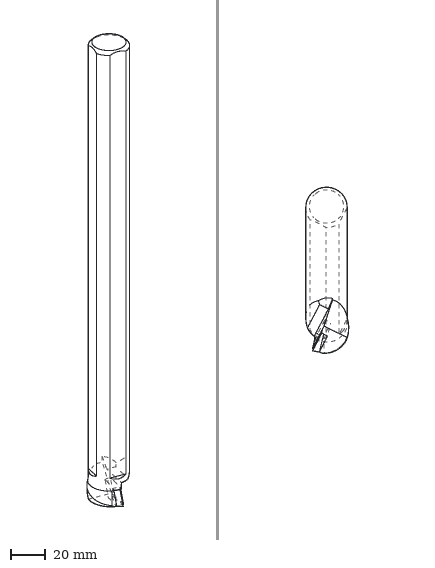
import cadquery as cq
import math

outer_width = 29.5
outer_depth = 26.5

length = 301.2
shank_radius = 12.0
shank_center_x = -0.45
shank_center_y = 0.45
flat_depth = 1.2
flat_offset = shank_radius - flat_depth
flat_end_z = 17.2
top_chamfer = 2.0

head_bottom_z = 1.0
flare_start_z = 11.5
flare_blend_z = 8.7
flare_blend_growth = 0.3
flare_slope = 0.7
head_radius = outer_depth - shank_radius - shank_center_y
head_center_x = 2.85
relief_z = 14.5
gully_relief_z = 18.5

floor_bottom_y = 1.2
floor_top_y = 2.5
gully_wall_z = 12.7
runout_start_y = 8.0
runout_middle = (11.5, 17.2)
runout_top_z = 22.3

nose_x = outer_width - shank_radius + shank_center_x
insert_side = 11.7
insert_angle = 55.0
lead_angle = 3.0
insert_thickness = 4.0
clearance_angle = 7.0
insert_recess = 0.5
head_setback = 0.45

margin = 30.0


def make_blank():
    """Revolved shank and coaxial flare in place, with a chamfered upper end."""
    blend_radius = shank_radius + flare_blend_growth
    base_radius = blend_radius + flare_slope * (flare_blend_z - head_bottom_z)
    profile = [
        (0, head_bottom_z),
        (base_radius, head_bottom_z),
        (blend_radius, flare_blend_z),
        (shank_radius, flare_start_z),
        (shank_radius, length - top_chamfer),
        (shank_radius - top_chamfer, length),
        (0, length),
    ]
    blank = cq.Workplane("XZ").polyline(profile).close().revolve(360, (0, 0), (0, 1))
    return blank.translate((shank_center_x, shank_center_y, 0))


def head_envelope():
    """Eccentric round limit of the head, opening out above it to pass the whole shank."""
    head_limit = cq.Workplane("XY").center(head_center_x, 0).circle(head_radius).extrude(flare_blend_z)
    upper_limit = (
        cq.Workplane("XY").workplane(offset=flare_blend_z).circle(2 * shank_radius).extrude(length)
    )
    return head_limit.union(upper_limit)


def flat_cutter(turn):
    """Shank flat, turned about the shank axis from the -Y side, with a 45 degree run-out."""
    profile = [
        (-flat_offset, flat_end_z),
        (-flat_offset - margin, flat_end_z - margin),
        (-flat_offset - margin, length + margin),
        (-flat_offset, length + margin),
    ]
    cutter = cq.Workplane("YZ").polyline(profile).close().extrude(margin, both=True)
    return cutter.rotate((0, 0, 0), (0, 0, 1), turn).translate((shank_center_x, shank_center_y, 0))


def relief_cutter(start_z, low_y, high_y):
    """45 degree relief that starts at start_z on the -X side, between two Y positions."""
    side_x = shank_center_x - shank_radius
    profile = [
        (side_x - margin, start_z + margin),
        (side_x + margin, start_z - margin),
        (side_x - margin, start_z - margin),
    ]
    cutter = cq.Workplane("XZ", origin=(0, high_y, 0)).polyline(profile).close()
    return cutter.extrude(high_y - low_y)


def gully_cutter():
    """Chip gully: sloping floor, level end wall and bowed run-out on the +Y side."""
    return (
        cq.Workplane("YZ")
        .moveTo(floor_bottom_y, 0)
        .lineTo(floor_top_y, gully_wall_z)
        .lineTo(runout_start_y, gully_wall_z)
        .threePointArc(runout_middle, (shank_center_y + shank_radius, runout_top_z))
        .lineTo(margin, runout_top_z)
        .lineTo(margin, 0)
        .close()
        .extrude(margin, both=True)
    )


def make_insert():
    """Diamond insert lying in the sloping gully floor, tapered towards -Y."""
    tilt = math.degrees(math.atan2(floor_top_y - floor_bottom_y, gully_wall_z))
    lead = math.radians(180 - lead_angle)
    trail = math.radians(180 - lead_angle - insert_angle)
    lead_x, lead_z = insert_side * math.cos(lead), insert_side * math.sin(lead)
    trail_x, trail_z = insert_side * math.cos(trail), insert_side * math.sin(trail)
    corners = [(0, 0), (lead_x, lead_z), (lead_x + trail_x, lead_z + trail_z), (trail_x, trail_z)]
    insert = cq.Workplane("XZ").polyline(corners).close().extrude(insert_thickness, taper=clearance_angle)
    return insert.rotate((0, 0, 0), (1, 0, 0), -tilt).translate((nose_x, floor_bottom_y - insert_recess, 0))


def nose_cutter():
    """Trims the head behind the trailing edge of the insert."""
    trail = math.radians(180 - lead_angle - insert_angle)
    reach = flare_blend_z / math.tan(trail)
    edge_x = nose_x - head_setback
    profile = [(edge_x, 0), (edge_x + reach, flare_blend_z), (margin, flare_blend_z), (margin, 0)]
    return cq.Workplane("XZ").polyline(profile).close().extrude(margin, both=True)


insert = make_insert()
bar = (
    make_blank()
    .intersect(head_envelope())
    .cut(flat_cutter(0))
    .cut(flat_cutter(90))
    .cut(relief_cutter(relief_z, -margin, margin))
    .cut(relief_cutter(gully_relief_z, floor_top_y, margin))
    .cut(gully_cutter())
    .cut(nose_cutter())
    .cut(insert)
)

result = cq.Compound.makeCompound([*bar.solids().vals(), insert.val()])